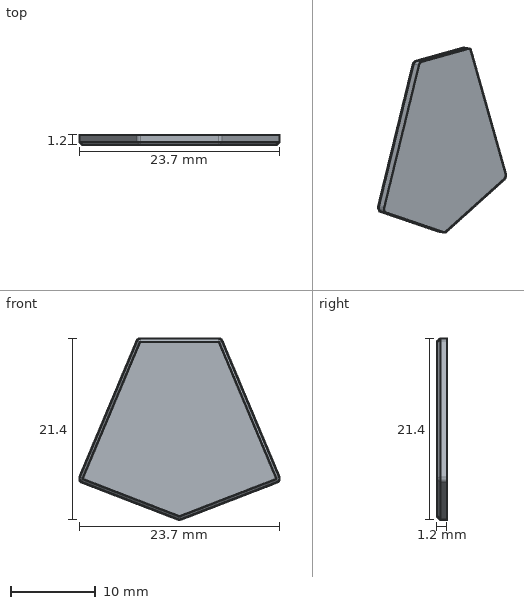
import cadquery as cq

width = 23.67
height = 21.42
thickness = 1.2

corner_radius = 0.5
bevel = 0.4

top_center_x = 4.6
top_center_z = height / 2 - corner_radius
bottom_center_z = -height / 2 + corner_radius
side_center_x = width / 2 - corner_radius
side_center_rise = 4.38
side_center_z = bottom_center_z + side_center_rise

corner_centers = [
    (0, bottom_center_z),
    (side_center_x, side_center_z),
    (top_center_x, top_center_z),
    (-top_center_x, top_center_z),
    (-side_center_x, side_center_z),
]

plate = (
    cq.Workplane("XZ")
    .polyline(corner_centers)
    .close()
    .offset2D(corner_radius, "arc")
    .extrude(thickness)
)

result = plate.faces("<Y").chamfer(bevel)